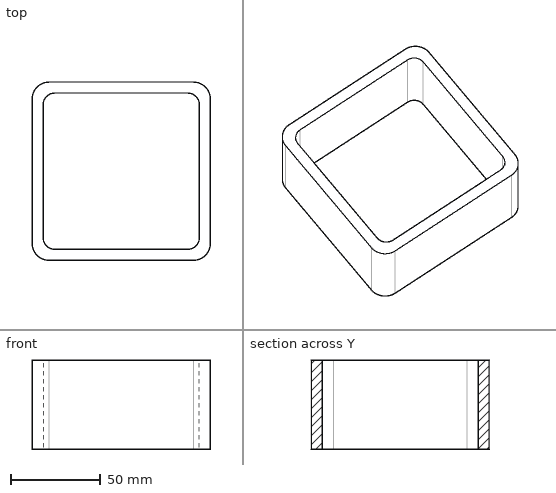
import cadquery as cq

side = 100.0
height = side / 2
wall = 6.3
outer_radius = 9.5
inner_radius = 6.3


def rounded_block(width, corner_radius):
    """Square block with rounded vertical edges, centred on the origin."""
    return cq.Workplane("XY").box(width, width, height).edges("|Z").fillet(corner_radius)


outer_block = rounded_block(side, outer_radius)
bore = rounded_block(side - 2 * wall, inner_radius)

result = outer_block.cut(bore)